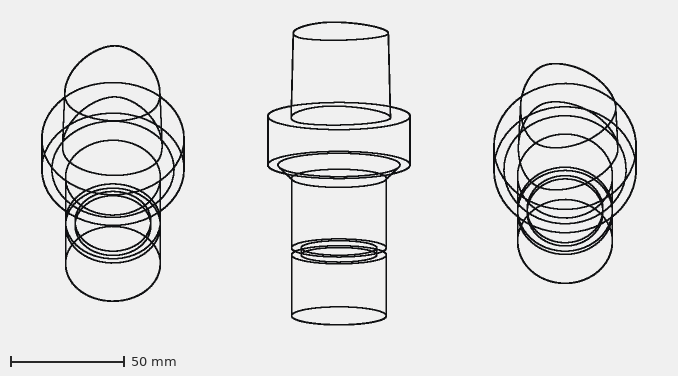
import cadquery as cq
import math

total_height = 128.0
taper_height = 38.0
flange_height = 22.0
neck_height = 6.0
flange_top = total_height - taper_height
flange_bottom = flange_top - flange_height
neck_bottom = flange_bottom - neck_height

flange_diameter = 63.0
polygon_width = 44.0
polygon_lobe = 1.4
taper_ratio = 1 / 20
outline_points = 48

shank_diameter = 42.0
neck_diameter = shank_diameter + 2 * neck_height
groove_diameter = 33.5
groove_bottom = 27.5
groove_width = 3.1


def polygon_point(mean_radius, angle):
    """Point on a three-lobed curve of constant width, with one lobe toward -Y."""
    reach = mean_radius + polygon_lobe * math.sin(3 * angle)
    slope = 3 * polygon_lobe * math.cos(3 * angle)
    x = reach * math.cos(angle) - slope * math.sin(angle)
    y = reach * math.sin(angle) + slope * math.cos(angle)
    return (x, y)


def polygon_wire(width, height):
    """Closed three-lobed outline at a given height, starting at the -Y lobe."""
    step = 2 * math.pi / outline_points
    start = -math.pi / 2
    points = [polygon_point(width / 2, start + i * step) for i in range(outline_points)]
    edge = cq.Edge.makeSpline([cq.Vector(x, y, height) for x, y in points], periodic=True)
    return cq.Wire.assembleEdges([edge])


def make_coupling():
    """Flange carrying the tapered polygon."""
    flange_plane = cq.Workplane("XY", origin=(0, 0, flange_bottom))
    flange = flange_plane.circle(flange_diameter / 2).extrude(flange_height)
    top_width = polygon_width - taper_ratio * taper_height
    bottom_outline = polygon_wire(polygon_width, flange_top)
    top_outline = polygon_wire(top_width, total_height)
    taper = cq.Solid.makeLoft([bottom_outline, top_outline], True)
    return flange.union(cq.Workplane(taper))


def make_shank():
    """Turned shank with its conical neck and ring groove."""
    groove_top = groove_bottom + groove_width
    profile = [
        (0, 0),
        (shank_diameter / 2, 0),
        (shank_diameter / 2, groove_bottom),
        (groove_diameter / 2, groove_bottom),
        (groove_diameter / 2, groove_top),
        (shank_diameter / 2, groove_top),
        (shank_diameter / 2, neck_bottom),
        (neck_diameter / 2, flange_bottom),
        (0, flange_bottom),
    ]
    return cq.Workplane("XZ").polyline(profile).close().revolve(360, (0, 0, 0), (0, 1, 0))


coupling = make_coupling()
shank = make_shank()

result = cq.Compound.makeCompound([coupling.val(), shank.val()])